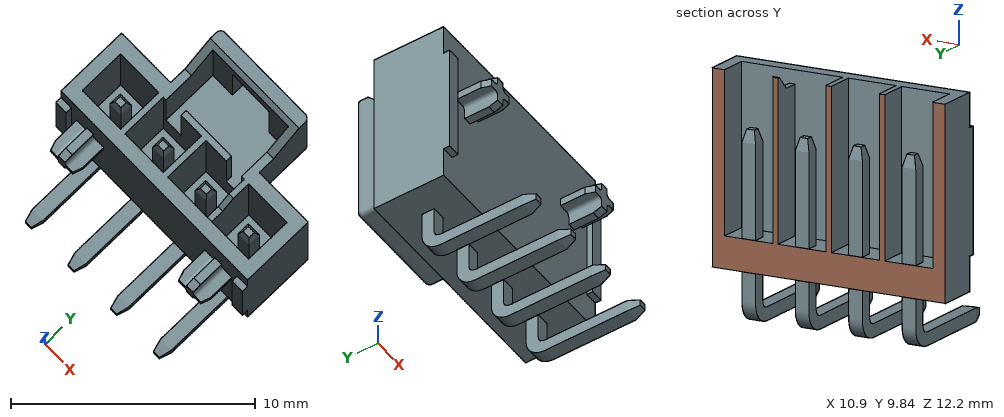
import cadquery as cq

total_height = 12.16

body_width = 10.95
body_depth = 3.45
body_top = 10.71
body_bottom = 2.23

contact_count = 4
contact_pitch = 2.5
pin_width = 0.65
pin_thickness = 0.6
pin_reach = 3.53
pin_tip_length = 0.55
pin_tip_inset = 0.15
pin_inner_radius = 0.34
pin_depth_below_mouth = 2.43
pin_y = body_depth / 2

pocket_width = 2.24
pocket_depth_y = 2.18
pocket_floor = 3.65
pocket_back = pin_y + pocket_depth_y / 2

latch_width = 5.2
latch_projection = 2.86
latch_bottom = 5.72
latch_crest = 0.6
latch_side_wall = 0.39
latch_back_wall = 0.83
latch_edge_radius = 0.24
latch_back = body_depth + latch_projection
latch_cavity_width = latch_width - 2 * latch_side_wall
latch_cavity_floor = latch_bottom + latch_side_wall

window_width = 2.14
window_top = 10.86
window_corner_radius = 0.15

rear_wall_width = 2.65
rear_wall_thickness = 0.29

notch_start_y = 1.95
notch_depth = 0.61

rib_width = 0.61
rib_thickness = 0.29
rib_bottom = 3.73
rib_top = 9.2

peg_z = 7.48
peg_span = 1.58
peg_arm_width = 0.39
peg_length = 1.63
peg_taper_length = 0.43
peg_taper_inset = 0.15
peg_corner_radius = 0.2

contact_xs = [(i - (contact_count - 1) / 2) * contact_pitch for i in range(contact_count)]


def block(x_min, x_max, y_min, y_max, z_min, z_max):
    """Axis-aligned block between the given limits."""
    return cq.Workplane("XY").box(x_max - x_min, y_max - y_min, z_max - z_min, centered=False).translate(
        (x_min, y_min, z_min)
    )


def centred_block(x, width, y_min, y_max, z_min, z_max):
    """Axis-aligned block whose width is centred on x."""
    return block(x - width / 2, x + width / 2, y_min, y_max, z_min, z_max)


def side_profile(points, x, width):
    """Outline of (y, z) points, extruded along X with its width centred on x."""
    return cq.Workplane("YZ").polyline(points).close().extrude(width / 2, both=True).translate((x, 0, 0))


def make_latch():
    """Latch housing with a sloped top and rounded outer edges."""
    slope_height = total_height - body_top
    outline = [
        (body_depth, latch_bottom),
        (latch_back, latch_bottom),
        (latch_back, total_height),
        (latch_back - latch_crest, total_height),
        (latch_back - latch_crest - slope_height, body_top),
        (body_depth, body_top),
    ]
    latch = side_profile(outline, 0, latch_width)
    latch = latch.edges("(>Y and |Z) or (<Z and |Y) or (<Z and >Y)").fillet(latch_edge_radius)
    return latch.union(centred_block(0, latch_width, pocket_back, body_depth, latch_bottom, body_top))


def make_latch_cavity():
    """Space between the latch walls, open to the middle pockets beside the rear wall."""
    cavity = centred_block(
        0, latch_cavity_width, pocket_back, latch_back - latch_back_wall, latch_cavity_floor, total_height
    )
    rear_wall = centred_block(
        0, rear_wall_width, pocket_back, pocket_back + rear_wall_thickness, latch_cavity_floor, body_top
    )
    return cavity.cut(rear_wall)


def make_window():
    """Opening through the latch back wall with rounded upper corners."""
    window = centred_block(
        0, window_width, latch_back - latch_back_wall, latch_back, latch_cavity_floor, window_top
    )
    return window.edges("|Y and >Z").fillet(window_corner_radius)


def make_pocket(x):
    return centred_block(
        x, pocket_width, pin_y - pocket_depth_y / 2, pocket_back, pocket_floor, body_top
    )


def make_partition_notch():
    """Notch lowering the front part of the partition before the last contact."""
    outline = [
        (notch_start_y, body_top),
        (notch_start_y - notch_depth, body_top - notch_depth),
        (pin_y - pocket_depth_y / 2, body_top - notch_depth),
        (pin_y - pocket_depth_y / 2, body_top),
    ]
    return side_profile(outline, (contact_xs[-2] + contact_xs[-1]) / 2, contact_pitch - pocket_width)


def make_tip(plane):
    """Tapered pin end on the given plane, pointing along its normal."""
    return (
        cq.Workplane(plane)
        .rect(pin_width, pin_thickness)
        .workplane(offset=pin_tip_length)
        .rect(pin_width - 2 * pin_tip_inset, pin_thickness - 2 * pin_tip_inset)
        .loft(combine=True)
    )


def make_pin(x):
    """Right-angle pin with a tapered tip at each end."""
    leg_back = pin_y + pin_thickness / 2
    leg_front = pin_y - pin_thickness / 2
    shaft_top = body_top - pin_depth_below_mouth - pin_tip_length
    shaft_end = pin_tip_length - pin_reach
    outline = [
        (shaft_end, 0),
        (leg_back, 0),
        (leg_back, shaft_top),
        (leg_front, shaft_top),
        (leg_front, pin_thickness),
        (shaft_end, pin_thickness),
    ]
    pin = side_profile(outline, x, pin_width)
    outer_bend = cq.selectors.NearestToPointSelector((x, leg_back, 0))
    pin = pin.edges("|X").edges(outer_bend).fillet(pin_inner_radius + pin_thickness)
    inner_bend = cq.selectors.NearestToPointSelector((x, leg_front, pin_thickness))
    pin = pin.edges("|X").edges(inner_bend).fillet(pin_inner_radius)
    upper_tip = make_tip(cq.Plane((x, pin_y, shaft_top), (1, 0, 0), (0, 0, 1)))
    front_tip = make_tip(cq.Plane((x, shaft_end, pin_thickness / 2), (1, 0, 0), (0, -1, 0)))
    return pin.union(upper_tip).union(front_tip)


def make_peg(x):
    """Cross-shaped peg with tapered arm ends and rounded inner corners."""
    half_span = peg_span / 2
    tip_half_span = half_span - peg_taper_inset
    outline = [
        (-half_span, 0),
        (half_span, 0),
        (half_span, peg_taper_length - peg_length),
        (tip_half_span, -peg_length),
        (-tip_half_span, -peg_length),
        (-half_span, peg_taper_length - peg_length),
    ]
    arm = cq.Workplane("XY").polyline(outline).close().extrude(peg_arm_width / 2, both=True)
    peg = arm.union(arm.rotate((0, 0, 0), (0, 1, 0), 90))
    inner_corners = cq.selectors.BoxSelector(
        (-peg_arm_width, -peg_length, -peg_arm_width), (peg_arm_width, 0, peg_arm_width)
    )
    return peg.edges("|Y").edges(inner_corners).fillet(peg_corner_radius).translate((x, 0, peg_z))


result = centred_block(0, body_width, 0, body_depth, body_bottom, body_top).union(make_latch())
result = result.cut(make_latch_cavity()).cut(make_window())
for contact_x in contact_xs:
    result = result.cut(make_pocket(contact_x))
result = result.cut(make_partition_notch())

for side in (-1, 1):
    rib_x = side * (body_width - rib_width) / 2
    result = result.union(centred_block(rib_x, rib_width, -rib_thickness, 0, rib_bottom, rib_top))
for peg_x in (contact_xs[0], contact_xs[-1]):
    result = result.union(make_peg(peg_x))

for contact_x in contact_xs:
    result = result.union(make_pin(contact_x))